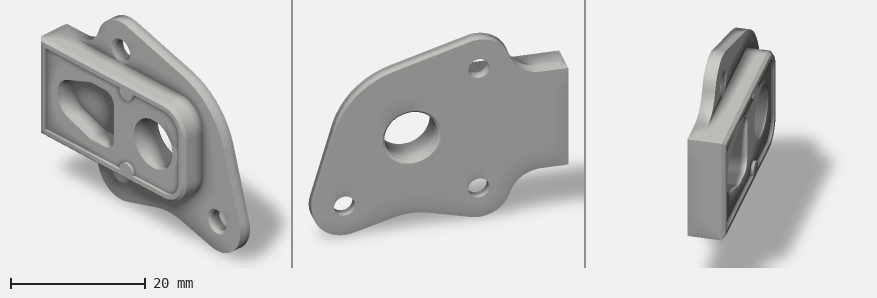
import cadquery as cq
import math


plate_thickness = 2.0
screw_offset = 10.3
lobe_radius = 5.0
shoulder_radius = 13.0
shoulder_angle = 16
waist_angle = 15
waist_radius = 10.0
neck_radius = 5.0

screw_diameter = 3.2
screw_chamfer = 0.4

total_depth = 5.75
block_left = -24.0
block_right = 7.15
block_half_height = 8.32
block_corner_radius = 4.4
block_chamfer = 0.47

rim_width = 1.2
recess_depth = 0.5
tab_x = -5.35
tab_radius = 1.4
tab_inset = 0.25

bore_diameter = 8.2
bore_chamfer = 0.4
pocket_left = -20.4
pocket_right = -8.4
pocket_shoulder_x = -13.5
pocket_half_height = 4.9
pocket_tip_half_height = 2.45
pocket_depth = 3.8
pocket_corner_radius = 2.0
pocket_tip_radius = 3.0


def xz_plane(depth):
    """Sketch plane at the given distance in front of the back face, extruding backwards."""
    return cq.Workplane("XZ", origin=(0, -depth, 0))


def polar(center, radius, degrees):
    """Point on a circle, as (x, z)."""
    angle = math.radians(degrees)
    return (center[0] + radius * math.cos(angle), center[1] + radius * math.sin(angle))


def make_plate():
    upper_ear = (-screw_offset, screw_offset)
    lower_ear = (-screw_offset, -screw_offset)
    right_ear = (screw_offset, -screw_offset)

    top_normal = 90 - shoulder_angle
    right_normal = shoulder_angle
    edge = math.radians(shoulder_angle)
    ear_reach = screw_offset * (math.cos(edge) - math.sin(edge))
    shoulder_shift = (ear_reach + lobe_radius - shoulder_radius) / (math.cos(edge) + math.sin(edge))
    shoulder_center = (shoulder_shift, shoulder_shift)

    neck_z = block_half_height + neck_radius
    neck_x = -screw_offset - math.sqrt((neck_radius + lobe_radius) ** 2 - (neck_z - screw_offset) ** 2)
    neck_normal = math.degrees(math.atan2(neck_z - screw_offset, neck_x + screw_offset))
    neck_mid_angle = (neck_normal - 180 - 90) / 2

    waist = math.radians(waist_angle)
    apex_z = -screw_offset - lobe_radius / math.cos(waist) + screw_offset * math.tan(waist)
    waist_center = (0, apex_z - waist_radius / math.cos(waist))

    outline = (
        cq.Workplane("XZ")
        .moveTo(neck_x, block_half_height)
        .threePointArc(
            polar((neck_x, neck_z), neck_radius, neck_mid_angle),
            polar(upper_ear, lobe_radius, neck_normal),
        )
        .threePointArc(
            polar(upper_ear, lobe_radius, (neck_normal + top_normal) / 2),
            polar(upper_ear, lobe_radius, top_normal),
        )
        .lineTo(*polar(shoulder_center, shoulder_radius, top_normal))
        .threePointArc(
            polar(shoulder_center, shoulder_radius, 45),
            polar(shoulder_center, shoulder_radius, right_normal),
        )
        .lineTo(*polar(right_ear, lobe_radius, right_normal))
        .threePointArc(
            polar(right_ear, lobe_radius, (right_normal - 90 - waist_angle) / 2),
            polar(right_ear, lobe_radius, -90 - waist_angle),
        )
        .lineTo(*polar(waist_center, waist_radius, 90 - waist_angle))
        .threePointArc(
            polar(waist_center, waist_radius, 90),
            polar(waist_center, waist_radius, 90 + waist_angle),
        )
        .lineTo(*polar(lower_ear, lobe_radius, -90 + waist_angle))
        .threePointArc(
            polar(lower_ear, lobe_radius, (-90 + waist_angle - neck_normal) / 2),
            polar(lower_ear, lobe_radius, -neck_normal),
        )
        .threePointArc(
            polar((neck_x, -neck_z), neck_radius, -neck_mid_angle),
            (neck_x, -block_half_height),
        )
        .close()
    )
    plate = outline.extrude(plate_thickness)
    return (
        plate.faces("<Y")
        .workplane(origin=(0, 0, 0))
        .pushPoints([upper_ear, lower_ear, right_ear])
        .cskHole(screw_diameter, screw_diameter + 2 * screw_chamfer, 90)
    )


def rounded_block(inset, front, depth):
    """Block outline shrunk by inset, from the given front distance backwards by depth."""
    left = block_left + inset
    right = block_right - inset
    return (
        xz_plane(front)
        .center((left + right) / 2, 0)
        .rect(right - left, 2 * (block_half_height - inset))
        .extrude(-depth)
        .edges("|Y and >X")
        .fillet(block_corner_radius - inset)
    )


def make_block():
    return rounded_block(0, total_depth, total_depth).faces("<Y").chamfer(block_chamfer)


def make_recess():
    recess = rounded_block(rim_width, total_depth, recess_depth)
    tab_z = block_half_height - rim_width - tab_inset
    tabs = (
        xz_plane(total_depth)
        .pushPoints([(tab_x, tab_z), (tab_x, -tab_z)])
        .circle(tab_radius)
        .extrude(-recess_depth)
    )
    return recess.cut(tabs)


def make_pocket():
    pocket = (
        xz_plane(total_depth)
        .moveTo(pocket_left, pocket_tip_half_height)
        .lineTo(pocket_shoulder_x, pocket_half_height)
        .lineTo(pocket_right, pocket_half_height)
        .lineTo(pocket_right, -pocket_half_height)
        .lineTo(pocket_shoulder_x, -pocket_half_height)
        .lineTo(pocket_left, -pocket_tip_half_height)
        .close()
        .extrude(-pocket_depth)
    )
    pocket = pocket.edges("|Y and <X").fillet(pocket_tip_radius)
    pocket = pocket.edges("|Y and >X").fillet(pocket_corner_radius)
    shoulder_edges = cq.selectors.BoxSelector(
        (pocket_shoulder_x - 0.4, -total_depth, -pocket_half_height - 0.4),
        (pocket_shoulder_x + 0.4, 0, pocket_half_height + 0.4),
    )
    return pocket.edges("|Y").edges(shoulder_edges).fillet(pocket_corner_radius)


def make_bore():
    bore_radius = bore_diameter / 2
    bore = xz_plane(total_depth).circle(bore_radius).extrude(-total_depth)
    back_chamfer = (
        xz_plane(bore_chamfer)
        .circle(bore_radius)
        .workplane(offset=-bore_chamfer)
        .circle(bore_radius + bore_chamfer)
        .loft()
    )
    return bore.union(back_chamfer)


result = make_plate().union(make_block()).cut(make_recess()).cut(make_pocket()).cut(make_bore())